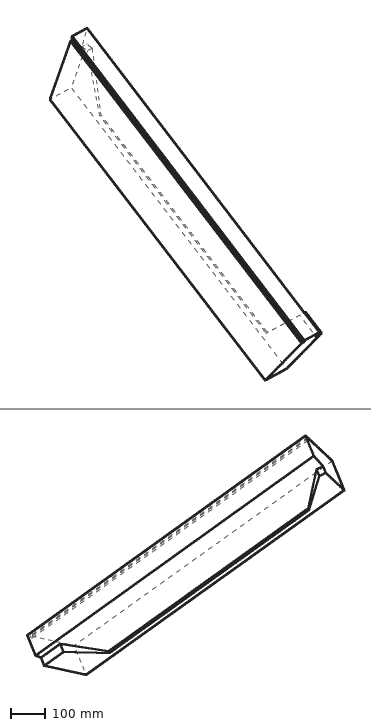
import cadquery as cq
import math

length_x = 951.0
height_z = 903.0
thickness = 102.0
slope = math.radians(40)
upper_end_lean = math.radians(20)
upper_end_x = 84.0
lower_end_x = 804.0
lower_end_height = 173.0

ledge_y = 70.0
wall_taper = 1 / 8
upper_seat_drop = 71.0
upper_seat_end_x = 78.0
lower_seat_depth = 27.0
lower_seat_start_x = 875.0
floor_depth = 202.0
floor_start_x = 110.0
floor_end_x = 732.0

groove_offset = 8.0
groove_width = 10.0
groove_depth = 9.0

overrun = 48.0

top_corner = (upper_end_x, height_z)


def z_at(x, depth):
    """Height at x of the line parallel to the top edge and sunk by depth."""
    return height_z - (x - upper_end_x) * math.tan(slope) - depth / math.cos(slope)


def prism(points, y_start, y_end):
    """Extrude an XZ outline between two Y positions."""
    return cq.Workplane("XZ", origin=(0, y_start, 0)).polyline(points).close().extrude(y_start - y_end)


def make_slab():
    lower_left = (0, height_z - upper_end_x / math.tan(upper_end_lean))
    outline = [lower_left, top_corner, (length_x, lower_end_height), (lower_end_x, 0)]
    return prism(outline, 0, thickness)


def make_rebate():
    seat_x = upper_end_x - upper_seat_drop * math.tan(upper_end_lean)
    seat_z = height_z - upper_seat_drop
    seat_fall = math.tan(upper_end_lean)

    def upper_seat(x):
        return (x, seat_z - (x - seat_x) * seat_fall)

    start_x = -overrun
    end_x = length_x + overrun
    outline = [
        (start_x, z_at(start_x, -overrun)),
        upper_seat(start_x),
        upper_seat(upper_seat_end_x),
        (floor_start_x, z_at(floor_start_x, floor_depth)),
        (floor_end_x, z_at(floor_end_x, floor_depth)),
        (lower_seat_start_x, z_at(lower_seat_start_x, lower_seat_depth)),
        (end_x, z_at(end_x, lower_seat_depth)),
        (end_x, z_at(end_x, -overrun)),
    ]
    return prism(outline, 0, thickness + overrun).intersect(make_behind_wall())


def make_behind_wall():
    """Space behind the tapered wall, swept along the top edge."""
    out_of_edge = cq.Vector(math.sin(slope), 0, math.cos(slope))
    reach = 2 * length_x
    origin = (upper_end_x, 0, height_z)
    section = cq.Plane(origin=origin, xDir=(0, 1, 0), normal=cq.Vector(0, 1, 0).cross(out_of_edge))
    back = thickness + 2 * overrun
    points = [
        (ledge_y - overrun * wall_taper, overrun),
        (ledge_y + (floor_depth + overrun) * wall_taper, -floor_depth - overrun),
        (back, -floor_depth - overrun),
        (back, overrun),
    ]
    return cq.Workplane(section).polyline(points).close().extrude(reach, both=True)


def make_groove():
    start_x = -overrun
    end_x = length_x + overrun
    near = groove_offset
    far = groove_offset + groove_width
    outline = [
        (start_x, z_at(start_x, near)),
        (end_x, z_at(end_x, near)),
        (end_x, z_at(end_x, far)),
        (start_x, z_at(start_x, far)),
    ]
    return prism(outline, -overrun, groove_depth)


result = make_slab().cut(make_rebate()).cut(make_groove())